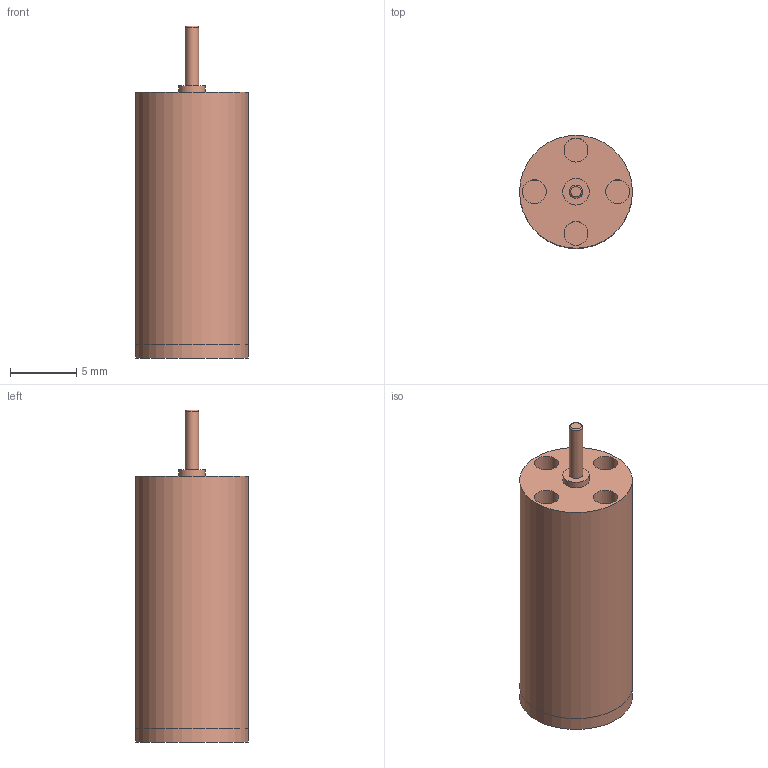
import cadquery as cq

can_diameter = 8.5
motor_length = 20.0
cap_thickness = 1.0

boss_diameter = 2.0
boss_height = 0.5
shaft_diameter = 1.0
shaft_tip_round = 0.1
overall_length = 25.0

hole_count = 4
hole_diameter = 1.8
hole_circle_radius = 3.14
hole_depth = 10.0

boss_top = motor_length + boss_height


def cylinder(diameter, bottom, top):
    """Solid cylinder on the Z axis between two heights."""
    return cq.Workplane("XY").workplane(offset=bottom).circle(diameter / 2).extrude(top - bottom)


def make_end_cap():
    """Plain disc that closes the bottom of the motor."""
    return cylinder(can_diameter, 0, cap_thickness)


def make_shaft():
    """Shaft above the boss, with a rounded tip."""
    shaft = cylinder(shaft_diameter, boss_top, overall_length)
    return shaft.faces(">Z").edges().fillet(shaft_tip_round)


def make_motor():
    """Can with its boss and shaft, and a ring of blind holes in the output face."""
    can = cylinder(can_diameter, cap_thickness, motor_length)
    holes = (
        cq.Workplane("XY")
        .workplane(offset=motor_length)
        .polarArray(hole_circle_radius, 0, 360, hole_count)
        .circle(hole_diameter / 2)
        .extrude(-hole_depth)
    )
    boss = cylinder(boss_diameter, motor_length, boss_top)
    return can.cut(holes).union(boss).union(make_shaft())


end_cap = make_end_cap()
motor = make_motor()

result = cq.Compound.makeCompound([end_cap.val(), motor.val()])